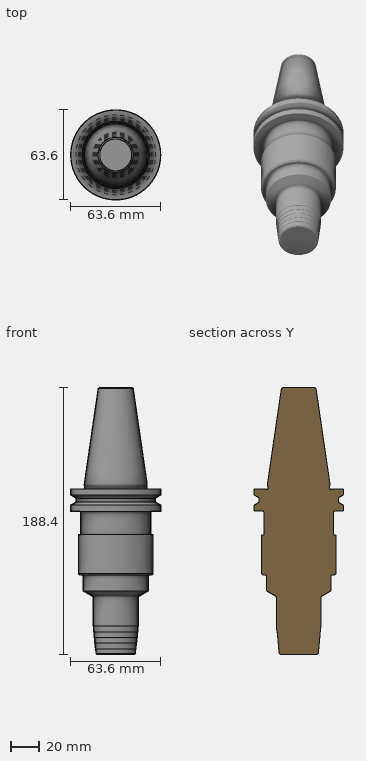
import cadquery as cq
import math


GAUGE_DIA = 44.45
TAPER_RATIO = 7 / 24
TAPER_LENGTH = 68.4
TAPER_END_CHAMFER = 1.0

RIM_HEIGHT = 0.6
NECK_DIA = 43.9
NECK_CHAMFER_HEIGHT = 0.9
NECK_FILLET = 0.8

FLANGE_DIA = 63.55
FLANGE_TOP = -3.2
FLANGE_BOTTOM = -19.1
RECESS_DIA = 47.4
RECESS_FLOOR_DIA = 46.2
RECESS_DEPTH = 0.2
GROOVE_CENTRE = -11.1
GROOVE_FLOOR_DIA = 56.25
GROOVE_FLOOR_WIDTH = 3.0
GROOVE_FLANK_ANGLE = 30
GROOVE_FILLET = 0.5

BODY_DIA = 49.6
BODY_FILLET = 0.5
SLEEVE_DIA = 52.8
SLEEVE_TOP = -35.5
SLEEVE_BOTTOM = -64.0
SLEEVE_CHAMFER = 1.0
COLLAR_DIA = 46.0
COLLAR_BOTTOM = -75.1
COLLAR_FILLET = 1.0
COLLAR_CONE_ANGLE = 30

NOSE_DIA = 32.0
NOSE_FILLET = 0.8
NOSE_BOTTOM = -120.0
BAND_COUNT = 5
BAND_HEIGHT = 4.0
BAND_ANGLE = 2.0
BAND_STEP = 0.26
NOSE_END_CHAMFER = 0.9


def slope(angle):
    return math.tan(math.radians(angle))


def taper_radius(z):
    return (GAUGE_DIA - TAPER_RATIO * z) / 2


def shank_points():
    chamfer_start = TAPER_LENGTH - TAPER_END_CHAMFER
    neck_radius = NECK_DIA / 2
    return [
        (0, TAPER_LENGTH),
        (taper_radius(TAPER_LENGTH) - TAPER_END_CHAMFER, TAPER_LENGTH),
        (taper_radius(chamfer_start), chamfer_start),
        (GAUGE_DIA / 2, 0),
        (GAUGE_DIA / 2, -RIM_HEIGHT),
        (neck_radius, -RIM_HEIGHT - NECK_CHAMFER_HEIGHT),
        (neck_radius, FLANGE_TOP - RECESS_DEPTH),
    ]


def flange_points():
    flange_radius = FLANGE_DIA / 2
    floor_radius = GROOVE_FLOOR_DIA / 2
    groove_top = GROOVE_CENTRE + GROOVE_FLOOR_WIDTH / 2
    groove_bottom = GROOVE_CENTRE - GROOVE_FLOOR_WIDTH / 2
    flank_height = (flange_radius - floor_radius) * slope(GROOVE_FLANK_ANGLE)
    return [
        (RECESS_FLOOR_DIA / 2, FLANGE_TOP - RECESS_DEPTH),
        (RECESS_DIA / 2, FLANGE_TOP),
        (flange_radius, FLANGE_TOP),
        (flange_radius, groove_top + flank_height),
        (floor_radius, groove_top),
        (floor_radius, groove_bottom),
        (flange_radius, groove_bottom - flank_height),
        (flange_radius, FLANGE_BOTTOM),
    ]


def body_points():
    body_radius = BODY_DIA / 2
    sleeve_radius = SLEEVE_DIA / 2
    collar_radius = COLLAR_DIA / 2
    return [
        (body_radius, FLANGE_BOTTOM),
        (body_radius, SLEEVE_TOP),
        (sleeve_radius, SLEEVE_TOP),
        (sleeve_radius, SLEEVE_BOTTOM + SLEEVE_CHAMFER),
        (sleeve_radius - SLEEVE_CHAMFER, SLEEVE_BOTTOM),
        (collar_radius, SLEEVE_BOTTOM),
        (collar_radius, COLLAR_BOTTOM),
        (NOSE_DIA / 2, nose_top()),
    ]


def nose_top():
    return COLLAR_BOTTOM - (COLLAR_DIA - NOSE_DIA) / 2 * slope(COLLAR_CONE_ANGLE)


def nose_points():
    points = []
    radius = NOSE_DIA / 2
    z = NOSE_BOTTOM + BAND_COUNT * BAND_HEIGHT
    points.append((radius, z))
    for _ in range(BAND_COUNT):
        radius -= BAND_STEP
        points.append((radius, z))
        radius -= BAND_HEIGHT * slope(BAND_ANGLE)
        z -= BAND_HEIGHT
        points.append((radius, z))
    points.append((0, NOSE_BOTTOM))
    return points


def fillet_circle(part, radius, z, size):
    """Round the circular edge of the given radius at height z."""
    tolerance = 0.01
    reach = radius + tolerance
    corner = cq.selectors.BoxSelector(
        (-reach, -reach, z - tolerance), (reach, reach, z + tolerance), boundingbox=True
    )
    edges = []
    for edge in part.edges(corner).vals():
        if abs(edge.BoundingBox().xlen / 2 - radius) < tolerance:
            edges.append(edge)
    return part.newObject(edges).fillet(size)


profile = shank_points() + flange_points() + body_points() + nose_points()
result = cq.Workplane("XZ").polyline(profile).close().revolve(360, (0, 0), (0, 1))

result = fillet_circle(result, NECK_DIA / 2, FLANGE_TOP - RECESS_DEPTH, NECK_FILLET)
for side in (1, -1):
    groove_corner = GROOVE_CENTRE + side * GROOVE_FLOOR_WIDTH / 2
    result = fillet_circle(result, GROOVE_FLOOR_DIA / 2, groove_corner, GROOVE_FILLET)
result = fillet_circle(result, BODY_DIA / 2, FLANGE_BOTTOM, BODY_FILLET)
result = fillet_circle(result, COLLAR_DIA / 2, SLEEVE_BOTTOM, COLLAR_FILLET)
result = fillet_circle(result, NOSE_DIA / 2, nose_top(), NOSE_FILLET)
result = result.faces("<Z").chamfer(NOSE_END_CHAMFER)